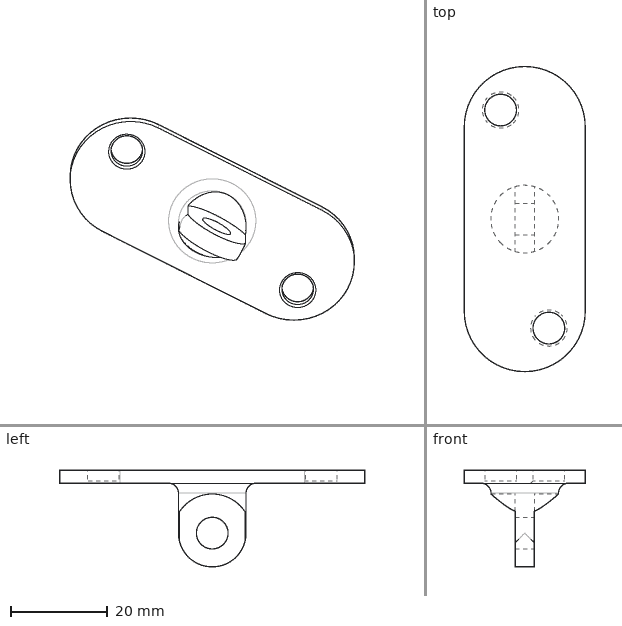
import cadquery as cq

plate_length = 63
plate_width = 25.0
plate_thickness = 2.7
hole_diameter = 6.5
countersink_depth = 0.5
mount_hole_x = 5.0
mount_hole_y = 22.5

overall_height = 20.0
stem_diameter = 14.0
stem_radius = stem_diameter / 2
stem_fillet = 2.0
tab_thickness = 4.0
relief_radius = 8.05

stem_length = overall_height - plate_thickness
eye_z = stem_radius - stem_length


def cylinder_along_x(radius, start_x, length):
    """Cylinder centred on the eye axis; a negative length runs toward -X."""
    return cq.Workplane("YZ", origin=(start_x, 0, eye_z)).circle(radius).extrude(length)


def make_plate():
    """Plate with semicircular ends and two diagonally opposite mounting holes,
    each chamfered at 45 degrees on the underside."""
    return (
        cq.Workplane("XY")
        .slot2D(plate_length, plate_width, angle=90)
        .extrude(plate_thickness)
        .faces(">Z")
        .workplane()
        .pushPoints([(-mount_hole_x, mount_hole_y), (mount_hole_x, -mount_hole_y)])
        .hole(hole_diameter)
        .faces("<Z")
        .edges("%CIRCLE")
        .edges(cq.selectors.RadiusNthSelector(0))
        .chamfer(countersink_depth)
    )


def make_stem():
    """Round stem whose lower end is rounded about the eye axis."""
    straight = cq.Workplane("XY").circle(stem_radius).extrude(eye_z)
    lower_end = cq.Workplane("XY", origin=(0, 0, eye_z)).circle(stem_radius).extrude(-stem_radius)
    rounding = cylinder_along_x(stem_radius, -stem_radius, stem_diameter)
    return straight.union(lower_end.intersect(rounding))


result = make_plate().union(make_stem())
root_region = cq.selectors.BoxSelector(
    (-stem_diameter, -stem_diameter, -stem_fillet / 2),
    (stem_diameter, stem_diameter, stem_fillet / 2),
)
result = result.edges("%CIRCLE").edges(root_region).fillet(stem_fillet)

for side in (-1, 1):
    result = result.cut(cylinder_along_x(relief_radius, side * tab_thickness / 2, side * stem_radius))

result = result.cut(cylinder_along_x(hole_diameter / 2, -stem_radius, stem_diameter))